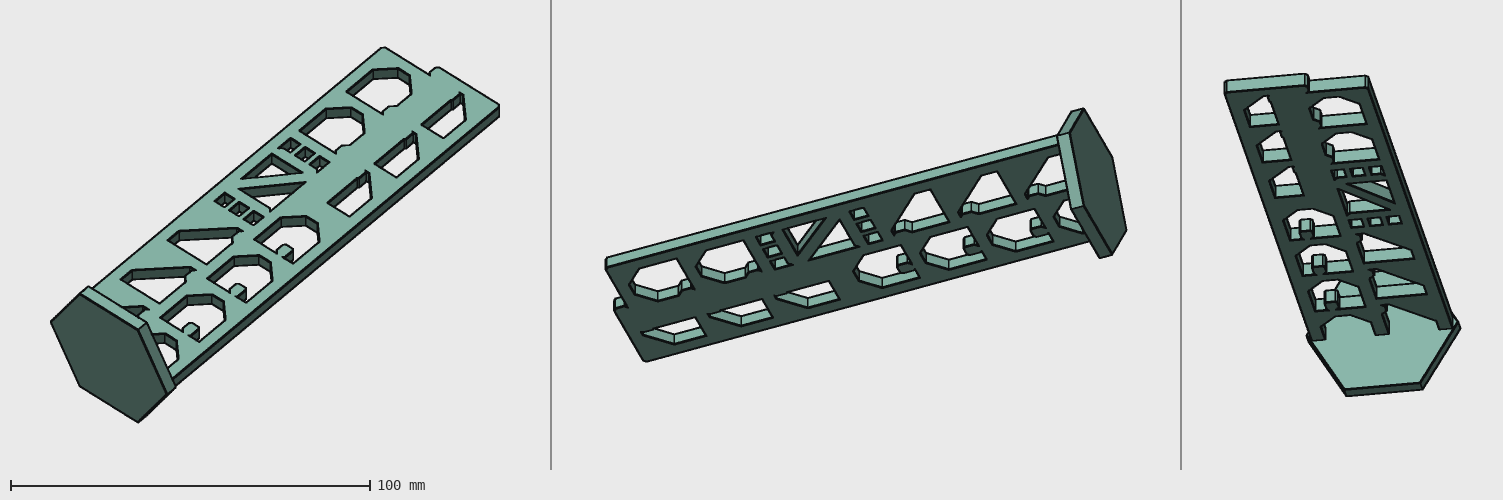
import cadquery as cq
import math

head_corner_width = 43.0
head_thickness = 4.0

blade_width = 40.0
blade_length = 140.0
blade_thickness = 4.0
edge_break = 0.2

pitch = 20.0
bar = 4.0
window_width = (blade_width - 3 * bar) / 2
window_height = pitch - bar
arch_bevel = 4.9
sail_wall = window_width / 3

left_x0 = -blade_width / 2 + bar
left_x1 = left_x0 + window_width
right_x0 = bar / 2
right_x1 = right_x0 + window_width

sail_bottoms = [0.0, pitch, 2 * pitch]
brace_bottom = 3 * pitch + 2 * bar
left_arch_bottoms = [5 * pitch - bar, 6 * pitch - bar]
small_hole_rows = [3 * pitch, brace_bottom + pitch]
small_hole_count = 3
small_hole_height = bar
small_hole_gap = 2.0
corner_nick = 0.8
brace_shift = 0.6

right_arch_bottoms = [-bar, pitch - bar, 2 * pitch - bar, 3 * pitch - bar]
slot_bottoms = [4 * pitch, 5 * pitch, 6 * pitch]
slot_x0 = 8.15
slot_flat = 1.2

lug_undercut = 0.6
lug_left_x = -3.6
spine_lug_height = 5.0
slot_lug_depth = 0.35
slot_lug_height = 3.6
slot_lug_undercut = 0.2
peg_x = 11.0
peg_width = 3.8
peg_height = 4.3
peg_tip_cut = 0.6
peg_left_undercut = 0.8
peg_right_undercut = 0.2
end_chamfer = 0.8
shoulder_y = blade_length - bar


def prism(points):
    """Through-thickness solid over a closed outline in the XY plane."""
    base = cq.Workplane("XY").workplane(offset=-blade_thickness / 2)
    return base.polyline(points).close().extrude(blade_thickness).val()


def block(x0, x1, y0, y1):
    return prism([(x0, y0), (x1, y0), (x1, y1), (x0, y1)])


def arch(x0, y0):
    """Window with both upper corners cut at 45 degrees."""
    x1 = x0 + window_width
    y1 = y0 + window_height
    return prism([
        (x0, y0), (x1, y0), (x1, y1 - arch_bevel),
        (x1 - arch_bevel, y1), (x0 + arch_bevel, y1), (x0, y1 - arch_bevel),
    ])


def sail(y0):
    """Left-column window with one long 45 degree edge."""
    y1 = y0 + window_height
    rise = window_height - sail_wall
    return prism([
        (left_x0, y0), (left_x1, y0), (left_x1, y1),
        (left_x0 + rise, y1), (left_x0, y0 + sail_wall),
    ])


def slot(y0):
    """Right-column slot with a 45 degree upper right edge."""
    y1 = y0 + window_height
    drop = right_x1 - slot_x0 - slot_flat
    return prism([
        (slot_x0, y0), (right_x1, y0), (right_x1, y1 - drop),
        (slot_x0 + slot_flat, y1), (slot_x0, y1),
    ])


def nick(x, y, side):
    """Small triangle below an opening's corner; side +1 opens towards +X."""
    return prism([(x, y), (x + side * corner_nick, y), (x, y - corner_nick)])


def braced_window():
    """Window crossed by a diagonal bar, leaving two triangles."""
    y0 = brace_bottom
    y1 = y0 + window_height
    opening = block(left_x0, left_x1, y0, y1).fuse(nick(left_x1, y0, -1))
    angle = math.degrees(math.atan2(window_height, window_width))
    diagonal = (
        cq.Workplane("XY")
        .box(2 * window_height, bar, blade_thickness)
        .rotate((0, 0, 0), (0, 0, 1), angle)
        .translate(((left_x0 + left_x1) / 2, (y0 + y1) / 2 + brace_shift, 0))
    )
    return opening.cut(diagonal.val())


def small_hole(y0, index):
    """One of the small rectangular holes in a row, counted from -X."""
    width = (window_width - (small_hole_count - 1) * small_hole_gap) / small_hole_count
    x0 = left_x0 + index * (width + small_hole_gap)
    return block(x0, x0 + width, y0, y0 + small_hole_height)


def spine_lug(y_bar, side):
    """Lug beside the spine, standing on a bar edge; side +1 points to +Y, -1 to -Y."""
    reach = left_x1 - lug_left_x
    return prism([
        (left_x1, y_bar),
        (lug_left_x + lug_undercut, y_bar),
        (lug_left_x, y_bar + side * lug_undercut),
        (lug_left_x, y_bar + side * (spine_lug_height - reach)),
        (left_x1, y_bar + side * spine_lug_height),
    ])


def shoulder_lug():
    """Extension of the spine's left side at the free end of the blade."""
    return prism([
        (left_x1, shoulder_y),
        (lug_left_x + lug_undercut, shoulder_y),
        (lug_left_x, shoulder_y + lug_undercut),
        (lug_left_x, blade_length - end_chamfer),
        (lug_left_x + end_chamfer, blade_length),
        (left_x1, blade_length),
    ])


def slot_lug(y_top):
    """Shallow lug on the left side of a slot, under the slot's top edge."""
    y0 = y_top - slot_lug_height
    return prism([
        (slot_x0, y0),
        (slot_x0 + slot_lug_depth, y0 + slot_lug_depth),
        (slot_x0 + slot_lug_depth, y_top - slot_lug_undercut),
        (slot_x0 + slot_lug_depth - slot_lug_undercut, y_top),
        (slot_x0, y_top),
    ])


def peg(y0):
    """Peg standing on the lower edge of a right-column window."""
    half = peg_width / 2
    y1 = y0 + peg_height
    return prism([
        (peg_x - half + peg_left_undercut, y0),
        (peg_x + half - peg_right_undercut, y0),
        (peg_x + half, y0 + peg_right_undercut),
        (peg_x + half, y1 - peg_tip_cut),
        (peg_x + half - peg_tip_cut, y1),
        (peg_x - half + peg_tip_cut, y1),
        (peg_x - half, y1 - peg_tip_cut),
        (peg_x - half, y0 + peg_left_undercut),
    ])


def make_head():
    return (
        cq.Workplane("XZ")
        .polygon(6, head_corner_width)
        .extrude(head_thickness)
        .faces(">Y or <Y").edges().chamfer(edge_break)
    )


def blade_plate():
    """Solid blade with a step at its free end."""
    half = blade_width / 2
    return prism([
        (-half, 0), (half, 0),
        (half, blade_length - end_chamfer), (half - end_chamfer, blade_length),
        (left_x1, blade_length), (left_x1, shoulder_y),
        (end_chamfer - half, shoulder_y), (-half, shoulder_y - end_chamfer),
    ])


def all_openings():
    openings = [arch(left_x0, y) for y in left_arch_bottoms]
    openings += [arch(right_x0, y) for y in right_arch_bottoms]
    openings += [sail(y) for y in sail_bottoms]
    openings += [slot(y) for y in slot_bottoms]
    openings += [small_hole(y, i) for y in small_hole_rows for i in range(small_hole_count)]
    upper_row = small_hole_rows[-1]
    openings += [nick(left_x0, upper_row, 1), nick(left_x1, upper_row, -1)]
    openings.append(braced_window())
    return openings


def all_lugs():
    lugs = [shoulder_lug()]
    lugs += [spine_lug(y, 1) for y in left_arch_bottoms]
    lugs += [spine_lug(y + window_height, -1) for y in sail_bottoms]
    lugs += [slot_lug(y + window_height) for y in slot_bottoms]
    lugs += [peg(y) for y in right_arch_bottoms[1:]]
    return lugs


def make_blade():
    """Latticed blade; its flat faces have chamfered edges except where it joins the head."""
    solid = blade_plate().cut(*all_openings()).fuse(*all_lugs()).clean()
    blade = cq.Workplane("XY").newObject([solid])
    return blade.faces(">Z or <Z").edges("not <Y").chamfer(edge_break)


result = make_head().union(make_blade(), clean=False)